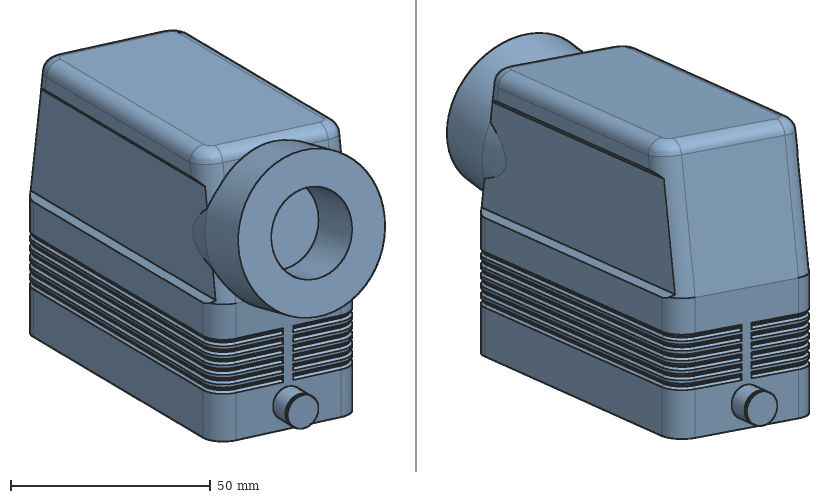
import cadquery as cq
import math

OVERALL_LENGTH = 115.8

LENGTH = 93.7
WIDTH = 43.0
HEIGHT = 76.1
STRAIGHT_HEIGHT = 36.9
LEAN_ANGLE = 10.0
CORNER_RADIUS = 6.0
TOP_RADIUS = 4.0

RECESS_DEPTH = 1.5
RECESS_BOTTOM = 36.4
RECESS_TOP = 68.3

GROOVE_COUNT = 6
GROOVE_OPENING = 1.7
GROOVE_FLOOR = 0.3
GROOVE_DEPTH = 0.7
GROOVE_BAND_HEIGHT = 14.6
GROOVE_BAND_BOTTOM = 12.9
GROOVE_PITCH = (GROOVE_BAND_HEIGHT - GROOVE_OPENING) / (GROOVE_COUNT - 1)
GROOVE_GAP = 3.0

PIN_DIAMETER = 9.0
PIN_SPAN = 107.9
PIN_Z = 7.0
PIN_RING_WIDTH = 0.2
PIN_RING_DEPTH = 0.1
PIN_RING_INSET = 0.9

ENTRY_RADIUS = WIDTH / 2
ENTRY_BORE_DIAMETER = 23.6
ENTRY_LENGTH = 16.4
ENTRY_RIM_REACH = ENTRY_RADIUS * math.sin(math.radians(LEAN_ANGLE))
ENTRY_FACE_X = OVERALL_LENGTH - PIN_SPAN / 2 - ENTRY_RIM_REACH
ENTRY_FACE_Z = 56.4
ENTRY_ROOT_LENGTH = 10.4
ENTRY_ROOT_ANGLE = 10.0


def hood_body():
    """Block with leaning ends, rounded upright corners and a rounded top rim."""
    lower = (
        cq.Workplane("XY")
        .rect(LENGTH, WIDTH)
        .extrude(STRAIGHT_HEIGHT)
        .edges("|Z")
        .fillet(CORNER_RADIUS)
    )
    lean_height = HEIGHT - STRAIGHT_HEIGHT
    half_bottom = LENGTH / 2
    half_top = half_bottom - lean_height * math.tan(math.radians(LEAN_ANGLE))
    upper = (
        cq.Workplane("XZ")
        .moveTo(-half_bottom, STRAIGHT_HEIGHT)
        .lineTo(half_bottom, STRAIGHT_HEIGHT)
        .lineTo(half_top, HEIGHT)
        .lineTo(-half_top, HEIGHT)
        .close()
        .extrude(WIDTH / 2, both=True)
        .edges("not(|X or |Y)")
        .fillet(CORNER_RADIUS)
        .faces(">Z")
        .edges()
        .fillet(TOP_RADIUS)
    )
    return lower.union(upper)


def side_recess(side):
    """Full-length trapezoidal cutter with 45 degree flanks for the -Y or +Y side."""
    outer = side * WIDTH / 2
    inner = outer - side * RECESS_DEPTH
    return (
        cq.Workplane("YZ")
        .moveTo(outer, RECESS_BOTTOM)
        .lineTo(inner, RECESS_BOTTOM + RECESS_DEPTH)
        .lineTo(inner, RECESS_TOP - RECESS_DEPTH)
        .lineTo(outer, RECESS_TOP)
        .close()
        .extrude(LENGTH / 2, both=True)
    )


def groove_path(side, z):
    """Half of the body outline on the -Y or +Y side, ending short of the end wall centres."""
    end_x = LENGTH / 2
    half_width = WIDTH / 2
    straight_x = end_x - CORNER_RADIUS
    straight_y = half_width - CORNER_RADIUS
    diagonal = CORNER_RADIUS * math.sqrt(0.5)
    return (
        cq.Workplane("XY", origin=(0, 0, z))
        .moveTo(-end_x, side * GROOVE_GAP / 2)
        .lineTo(-end_x, side * straight_y)
        .threePointArc(
            (-straight_x - diagonal, side * (straight_y + diagonal)),
            (-straight_x, side * half_width),
        )
        .lineTo(straight_x, side * half_width)
        .threePointArc(
            (straight_x + diagonal, side * (straight_y + diagonal)),
            (end_x, side * straight_y),
        )
        .lineTo(end_x, side * GROOVE_GAP / 2)
    )


def grip_groove(side, z):
    """Trapezoidal groove swept along one half of the body outline."""
    return (
        cq.Workplane("XZ", origin=(-LENGTH / 2, side * GROOVE_GAP / 2, z))
        .moveTo(0, -GROOVE_OPENING / 2)
        .lineTo(GROOVE_DEPTH, -GROOVE_FLOOR / 2)
        .lineTo(GROOVE_DEPTH, GROOVE_FLOOR / 2)
        .lineTo(0, GROOVE_OPENING / 2)
        .close()
        .sweep(groove_path(side, z))
    )


def pin(side):
    """Pin on the -X or +X end wall with a fine ring groove near its tip."""
    radius = PIN_DIAMETER / 2
    tip = PIN_SPAN / 2
    ring_outer = tip - PIN_RING_INSET
    shank = cq.Workplane("YZ", origin=(0, 0, PIN_Z)).circle(radius).extrude(side * tip)
    ring = (
        cq.Workplane("YZ", origin=(side * ring_outer, 0, PIN_Z))
        .circle(radius)
        .circle(radius - PIN_RING_DEPTH)
        .extrude(-side * PIN_RING_WIDTH)
    )
    return shank.cut(ring)


def entry_plane():
    """Plane of the open entry face, its normal pointing out of the part."""
    angle = math.radians(LEAN_ANGLE)
    return cq.Plane(
        origin=(ENTRY_FACE_X, 0, ENTRY_FACE_Z),
        xDir=(0, 1, 0),
        normal=(math.cos(angle), 0, math.sin(angle)),
    )


def entry_collar():
    """Cylinder outside the wall with a narrowing conical root inside it."""
    root_radius = ENTRY_RADIUS - ENTRY_ROOT_LENGTH * math.tan(math.radians(ENTRY_ROOT_ANGLE))
    collar = cq.Workplane(entry_plane()).circle(ENTRY_RADIUS).extrude(-ENTRY_LENGTH)
    root = (
        cq.Workplane(entry_plane())
        .workplane(offset=-ENTRY_LENGTH)
        .circle(ENTRY_RADIUS)
        .workplane(offset=-ENTRY_ROOT_LENGTH)
        .circle(root_radius)
        .loft()
    )
    return collar.union(root)


def entry_bore():
    """Blind bore ending where the collar meets the wall."""
    return cq.Workplane(entry_plane()).circle(ENTRY_BORE_DIAMETER / 2).extrude(-ENTRY_LENGTH)


body = hood_body()
for side in (-1, 1):
    body = body.cut(side_recess(side))
    for index in range(GROOVE_COUNT):
        groove_z = GROOVE_BAND_BOTTOM + GROOVE_OPENING / 2 + index * GROOVE_PITCH
        body = body.cut(grip_groove(side, groove_z))
    body = body.union(pin(side))
result = body.union(entry_collar()).cut(entry_bore())